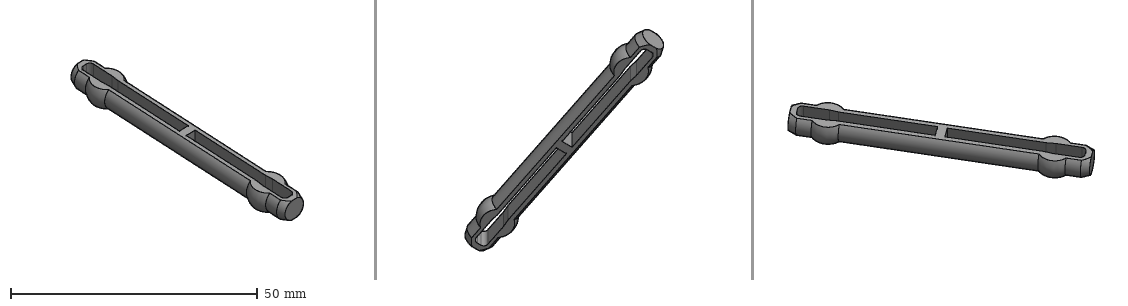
import cadquery as cq

length = 62.5
thickness = 5.0
body_radius = 3.3
half_length = length / 2

end_radius = 2.6
taper_length = 1.75

bulge_diameter = 8.55
bulge_radius = bulge_diameter / 2
bulge_offset = 23.5
bulge_half_width = 2.8

web_width = 2.0
slot_width = 2.5
slot_end_width = 2.9
slot_taper_start = 21.5
slot_taper_end = 23.45
end_wall = 1.4
slot_corner_radius = 1.0


def turned_bar():
    """Solid of revolution about X, before the flats are cut."""
    taper_start = half_length - taper_length
    profile = cq.Workplane("XY").moveTo(-half_length, 0).lineTo(-half_length, end_radius)
    profile = profile.lineTo(-taper_start, body_radius)
    for centre in (-bulge_offset, bulge_offset):
        profile = profile.lineTo(centre - bulge_half_width, body_radius)
        profile = profile.threePointArc(
            (centre, bulge_radius),
            (centre + bulge_half_width, body_radius),
        )
    profile = profile.lineTo(taper_start, body_radius)
    profile = profile.lineTo(half_length, end_radius).lineTo(half_length, 0).close()
    return profile.revolve(360, (0, 0, 0), (1, 0, 0))


def slot():
    """Through slot on the +X side, widened towards its rounded outer end."""
    inner = web_width / 2
    tip = half_length - end_wall
    narrow = slot_width / 2
    wide = slot_end_width / 2
    return (
        cq.Workplane("XY")
        .moveTo(inner, -narrow)
        .lineTo(slot_taper_start, -narrow)
        .lineTo(slot_taper_end, -wide)
        .lineTo(tip, -wide)
        .lineTo(tip, wide)
        .lineTo(slot_taper_end, wide)
        .lineTo(slot_taper_start, narrow)
        .lineTo(inner, narrow)
        .close()
        .extrude(thickness / 2, both=True)
        .edges("|Z and >X")
        .fillet(slot_corner_radius)
    )


slab = cq.Workplane("XY").box(length, bulge_diameter, thickness)
result = turned_bar().intersect(slab)

right_slot = slot()
result = result.cut(right_slot).cut(right_slot.mirror("YZ"))